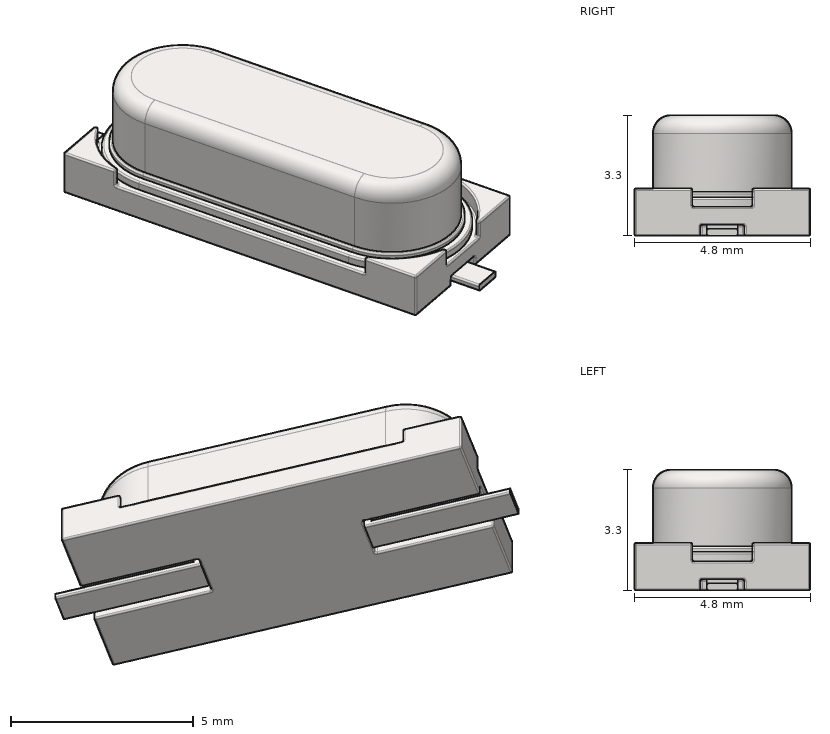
import cadquery as cq
base_length = 11.43
base_width = 4.8
base_height = 1.3
edge_radius = 0.05
recess_radius = 2.35
recess_floor = 0.8
side_notch_length = 8.1
end_notch_width = 1.64

overall_length = 13.0
overall_height = 3.3
center_spacing = 6.8
can_radius = 1.9
cap_round = 0.5
step_round = 0.05
flange_radius = 2.2
flange_top = 1.05
collar_radius = 2.0
collar_top = 1.2

lead_width = 0.84
lead_thickness = 0.2
lead_round = 0.05
leg_pitch = 4.88
slot_width = 1.2
slot_height = 0.3

half_length = base_length / 2
leg_outer_x = (leg_pitch + lead_thickness) / 2
leg_inner_x = leg_outer_x - lead_thickness


def stadium(radius, bottom, top):
    """Upright stadium prism around the two end centers of the can."""
    return (
        cq.Workplane("XY", origin=(0, 0, bottom))
        .slot2D(center_spacing + 2 * radius, 2 * radius)
        .extrude(top - bottom)
    )


def box_between(x_range, width, z_range):
    """Box centered on Y that spans the given X and Z ranges."""
    length = x_range[1] - x_range[0]
    middle = (x_range[0] + x_range[1]) / 2
    return (
        cq.Workplane("XY", origin=(middle, 0, z_range[0]))
        .rect(length, width)
        .extrude(z_range[1] - z_range[0])
    )


def both_ends(shape):
    """The shape together with its copy turned to the other end of the part."""
    return [shape, shape.rotate((0, 0, 0), (0, 0, 1), 180)]


def make_base():
    """Block with a recess for the can, notches through its walls and slots for the leads."""
    recess_depth = (recess_floor, base_height)
    half_notch = side_notch_length / 2
    base = box_between((-half_length, half_length), base_width, (0, base_height))
    base = base.cut(stadium(recess_radius, *recess_depth))
    base = base.cut(box_between((-half_notch, half_notch), base_width, recess_depth))
    base = base.cut(box_between((-half_length, half_length), end_notch_width, recess_depth))
    slot = box_between((leg_inner_x, half_length), slot_width, (0, slot_height))
    for end_slot in both_ends(slot):
        base = base.cut(end_slot)
    base = base.edges().fillet(edge_radius)
    leg_hole = box_between((leg_inner_x, leg_outer_x), lead_width, (0, recess_floor))
    for end_hole in both_ends(leg_hole):
        base = base.cut(end_hole)
    return base


def make_lead():
    """Flat lead with a leg that rises through the base to the can."""
    tip = box_between((leg_inner_x, overall_length / 2), lead_width, (0, lead_thickness))
    tip = tip.edges("|X").fillet(lead_round)
    leg_height = (lead_thickness / 2, recess_floor)
    leg = box_between((leg_inner_x, leg_outer_x), lead_width, leg_height)
    return tip.union(leg)


def rounded_stadium(radius, top, rounding):
    """Stadium standing on the recess floor with its top edge rounded."""
    return stadium(radius, recess_floor, top).faces(">Z").edges().fillet(rounding)


def make_can():
    """Cap, collar and flange joined with both leads."""
    can = rounded_stadium(flange_radius, flange_top, step_round)
    can = can.union(rounded_stadium(collar_radius, collar_top, step_round))
    can = can.union(rounded_stadium(can_radius, overall_height, cap_round))
    for lead in both_ends(make_lead()):
        can = can.union(lead)
    return can


base = make_base()
can = make_can()
result = cq.Compound.makeCompound([base.val(), can.val()])